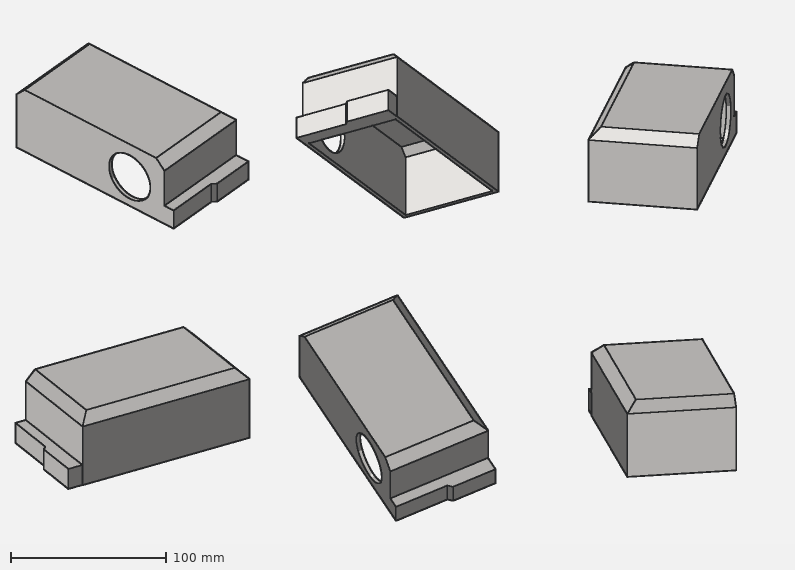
import cadquery as cq
import math

total_length = 136.0
depth = 71.5
height = 50.0

body_length = 125.5
chamfer = 7.0
wall = 3.0

ledge_height = 14.75
ledge_back_gap = 0.3
ledge_wide_depth = 31.0
ledge_step = 2.7

opening_diameter = 35.0
opening_x = 96.0
opening_z = 23.5


def chamfered_block(block_length, block_depth, block_height, block_chamfer):
    """Box from the origin corner, chamfered on the top -X, +X and +Y edges."""
    block = cq.Workplane("XY").box(block_length, block_depth, block_height, centered=False)
    return block.faces(">Z").edges("<X or >X or >Y").chamfer(block_chamfer)


def make_cavity():
    """Inner volume that leaves a wall on the top and all sides and is open at the bottom."""
    inner_chamfer = chamfer - wall * (2 - math.sqrt(2))
    cavity = chamfered_block(body_length - 2 * wall, depth - 2 * wall, height - wall, inner_chamfer)
    return cavity.translate((wall, wall, 0))


def make_ledge():
    """Low solid ledge on the +X side, wider toward the back with a 45 degree step."""
    inner_x = body_length - wall
    narrow_x = total_length - ledge_step
    back_y = depth - ledge_back_gap
    step_y = back_y - ledge_wide_depth
    outline = [
        (inner_x, 0),
        (narrow_x, 0),
        (narrow_x, step_y - ledge_step),
        (total_length, step_y),
        (total_length, back_y),
        (inner_x, back_y),
    ]
    return cq.Workplane("XY").polyline(outline).close().extrude(ledge_height)


def make_opening():
    """Cylinder that pierces only the -Y wall."""
    circle = cq.Workplane("XZ").center(opening_x, opening_z).circle(opening_diameter / 2)
    return circle.extrude(-wall)


housing = chamfered_block(body_length, depth, height, chamfer).union(make_ledge())
result = housing.cut(make_cavity()).cut(make_opening())